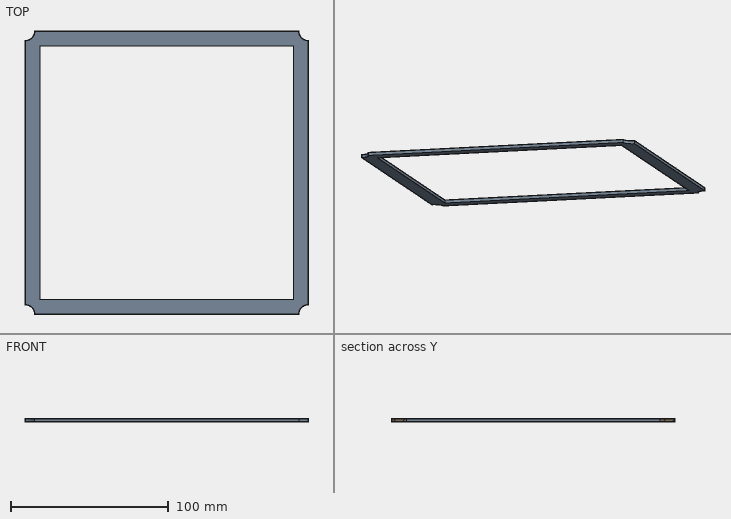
import cadquery as cq

outer_side = 179.5
thickness = 2.0
frame_width = 9.5
corner_notch_radius = 6.0

inner_side = outer_side - 2 * frame_width


def square_frame():
    """Flat square plate with a square window, resting on Z = 0."""
    plate = cq.Workplane("XY").rect(outer_side, outer_side)
    return plate.rect(inner_side, inner_side).extrude(thickness)


def corner_notch_cutters():
    """Cylinders centred on the four outer corners of the frame."""
    corners = cq.Workplane("XY").rect(outer_side, outer_side, forConstruction=True).vertices()
    return corners.circle(corner_notch_radius).extrude(thickness)


result = square_frame().cut(corner_notch_cutters())